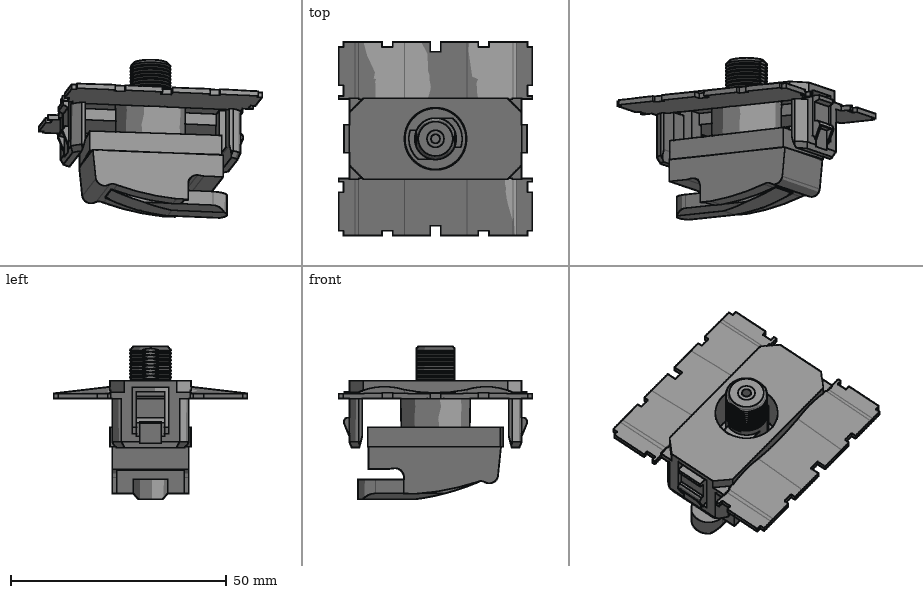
import cadquery as cq
import math


EXTRA = 1.0

connector_top = 12.15
block_top = 4.16
roof_bottom = 2.67
ledge_top = 1.5
plate_top = 1.15
lid_top = -6.6
lid_bottom = -11.2
leg_bottom = -11.4
step_bottom = -16.4
housing_bottom = -22.1
lever_top = -18.8
lever_bottom = -23.4

plate_half = 45.05 / 2
plate_inner_y = 9.2
corner_notch = 1.13
edge_notch_width = 2.43
edge_notch_x = 11.2
centre_notch_depth = 2.27
side_notch_y = 11.2
crease_outer_x = 18.83
crease_inner_x = 18.0
wave_seam_x = 7.3
hump_x = 11.8
crease_rise = 0.3
hump_rise = 1.65
seam_rise = 0.95
valley_rise = 0.2
outer_wave_fraction = 0.05

block_half_x = 20.05
block_half_y = 9.43
block_chamfer = 3.3
cavity_half_y = 7.9
leg_inner_x = 17.0
leg_half_y = 8.93
leg_corner_cut = 2.15
leg_corner_bulge = 0.2
leg_foot_z = -10.05
leg_foot_outer_x = 19.5
leg_foot_inner_x = 17.7
leg_taper_z = -8.7
leg_foot_half_y = 8.15
window_half_y = 4.24
window_bottom = -8.17
arm_half_y = 3.28
arm_thickness = 1.5
arm_top = 1.55
tab_outer_x = 21.2
tab_front_bottom = 0.6
latch_top = -4.44
latch_tip_x = 21.35
latch_tip_z = -5.62
latch_bottom = -8.75
latch_round_inset = 0.18
latch_round_drop = 0.45
pocket_half_y = 2.55
pocket_floor_x = 19.9
pocket_outer_top = -5.4
pocket_inner_top = -5.75
tube_radius = 8.2
tube_tip_radius = 8.0
tube_bore_radius = 7.25
tube_bore_tip_radius = 7.1

thread_radius = 4.83
thread_root_radius = 4.4
thread_pitch = 25.4 / 32
thread_count = 10
thread_bottom = 3.75
tip_radius = 4.0
thread_flat_x = 4.43
thread_flat_bottom = 3.1
lug_radius = 6.2
lug_half_y = 4.74
lug_end_y = 1.95
lug_top = 2.0
insulator_radius = 1.98
contact_hole_radius = 1.05
contact_hole_depth = 6.0

lid_half_x = 15.46
lid_half_y = 8.82
lid_turn = 2.27
housing_half_y = 8.95
housing_left_x = -15.58
housing_right_x = 15.25
cheek_x = -7.35
step_end = (-10.9, step_bottom)
arch_rise = (-10.2, -16.3)
arch_crown = (-9.4, -16.2)
arch_shoulder = (-7.95, -16.85)
arch_foot = (cheek_x, -18.3)
belly_mid = (2.6, -21.2)
belly_end = (9.6, -19.4)
belly_dip = (10.5, -19.2)
heel_start = (11.4, -19.4)
heel_mid = (13.6, -19.4)
heel_end = (14.55, -18.0)
cheek_inner_y = 7.9
recess_depth = 0.85
recess_top = -16.7
lever_tip_x = -18.05
lever_half_y = 4.05
lever_chamfer_height = 1.35
lever_chamfer_width = 1.25
lever_flat_end_x = -4.45
lever_curve_mid = (3.2, -21.8)
lever_rear_x = 10.0
lever_rear_bottom = -19.4


def box(x_range, y_range, z_range):
    """Box spanning the three given (low, high) ranges."""
    sizes = [high - low for low, high in (x_range, y_range, z_range)]
    corner = (x_range[0], y_range[0], z_range[0])
    return cq.Workplane("XY").box(*sizes, centered=False).translate(corner)


def cylinder(radius, bottom, top):
    return cq.Workplane("XY").workplane(offset=bottom).circle(radius).extrude(top - bottom)


def prism_along_y(points, half_width):
    """Polygon in the XZ plane, extruded to both sides of Y = 0."""
    return cq.Workplane("XZ").polyline(points).close().extrude(half_width, both=True)


def wave_section(y, fraction):
    """Closed XZ section of a flange plate's wavy top at the given Y."""
    def z(rise):
        return plate_top + rise * fraction

    return (
        cq.Workplane("XZ", origin=(0, y, 0))
        .moveTo(-crease_outer_x, 0)
        .lineTo(-crease_outer_x, plate_top)
        .lineTo(-crease_inner_x, z(crease_rise))
        .threePointArc((-hump_x, z(hump_rise)), (-wave_seam_x, z(seam_rise)))
        .threePointArc((0, z(valley_rise)), (wave_seam_x, z(seam_rise)))
        .threePointArc((hump_x, z(hump_rise)), (crease_inner_x, z(crease_rise)))
        .lineTo(crease_outer_x, plate_top)
        .lineTo(crease_outer_x, 0)
        .close()
        .val()
    )


def notch(x, y, width_x, width_y):
    """Vertical through cutter centred on (x, y)."""
    return (
        cq.Workplane("XY").workplane(offset=-EXTRA).center(x, y)
        .rect(width_x, width_y).extrude(block_top + EXTRA)
    )


def flange_plate():
    """Notched plate with a wavy top, on the +Y side of the block."""
    plate = box((-plate_half, plate_half), (plate_inner_y, plate_half), (0, plate_top))
    inner_section = wave_section(plate_inner_y, 1.0)
    outer_section = wave_section(plate_half, outer_wave_fraction)
    wave = cq.Solid.makeLoft([inner_section, outer_section], True)
    plate = plate.union(cq.Workplane(wave))
    depth = 2 * corner_notch
    plate = plate.cut(notch(0, plate_half, edge_notch_width, 2 * centre_notch_depth))
    for side in (-1, 1):
        plate = plate.cut(notch(side * plate_half, plate_half, depth, depth))
        plate = plate.cut(notch(side * edge_notch_x, plate_half, edge_notch_width, depth))
        plate = plate.cut(notch(side * plate_half, side_notch_y, depth, edge_notch_width))
    return plate


def block():
    """Long block with chamfered upper corners, hollow from below between the legs."""
    x_range = (-block_half_x, block_half_x)
    y_range = (-block_half_y, block_half_y)
    upper = box(x_range, y_range, (ledge_top, block_top)).edges("|Z").chamfer(block_chamfer)
    cavity = box((-leg_inner_x, leg_inner_x), (-cavity_half_y, cavity_half_y), (-EXTRA, roof_bottom))
    return box(x_range, y_range, (0, ledge_top)).union(upper).cut(cavity)


def leg_plan(outer_x, half_y, z):
    """Closed leg outline at height z, with a slightly bulged cut on each outer corner."""
    end_half_y = half_y - leg_corner_cut
    side_start_x = leg_corner_cut - outer_x
    bulge = leg_corner_bulge / math.sqrt(2)
    arc_mid_x = leg_corner_cut / 2 - outer_x - bulge
    arc_mid_y = half_y - leg_corner_cut / 2 + bulge
    return (
        cq.Workplane("XY", origin=(0, 0, z))
        .moveTo(-leg_inner_x, -half_y)
        .lineTo(side_start_x, -half_y)
        .threePointArc((arc_mid_x, -arc_mid_y), (-outer_x, -end_half_y))
        .lineTo(-outer_x, end_half_y)
        .threePointArc((arc_mid_x, arc_mid_y), (side_start_x, half_y))
        .lineTo(-leg_inner_x, half_y)
        .close()
        .val()
    )


def leg():
    """Leg on the -X side: straight shank, narrowed foot and a taper on the inner face."""
    top_plan = leg_plan(block_half_x, leg_half_y, 0)
    foot_plan = leg_plan(block_half_x, leg_half_y, leg_foot_z)
    bottom_plan = leg_plan(leg_foot_outer_x, leg_foot_half_y, leg_bottom)
    shank = cq.Workplane(cq.Solid.makeLoft([foot_plan, top_plan], True))
    foot = cq.Workplane(cq.Solid.makeLoft([bottom_plan, foot_plan], True))
    taper = prism_along_y(
        [
            (-leg_inner_x, leg_taper_z),
            (-leg_foot_inner_x, leg_bottom),
            (-leg_inner_x, leg_bottom),
        ],
        leg_half_y,
    )
    return shank.union(foot).cut(taper)


def spring_arm():
    """Arm rising inside the -X window, with a tab at its top and a latch lower down."""
    arm_inner_x = arm_thickness - block_half_x
    arm = box((-block_half_x, arm_inner_x), (-arm_half_y, arm_half_y), (window_bottom, arm_top))
    tab = prism_along_y(
        [
            (arm_inner_x, arm_top),
            (-tab_outer_x, arm_top),
            (-tab_outer_x, tab_front_bottom),
            (-block_half_x, 0),
            (arm_inner_x, 0),
        ],
        arm_half_y,
    )
    shoulder_x = -(block_half_x + latch_tip_x) / 2
    latch_nose_mid = (latch_round_inset - latch_tip_x, latch_top - latch_round_drop)
    latch = (
        cq.Workplane("XZ")
        .moveTo(arm_inner_x, latch_top)
        .lineTo(shoulder_x, latch_top)
        .threePointArc(latch_nose_mid, (-latch_tip_x, latch_tip_z))
        .lineTo(-block_half_x, latch_bottom)
        .lineTo(arm_inner_x, latch_bottom)
        .close()
        .extrude(arm_half_y, both=True)
    )
    return arm.union(tab).union(latch)


def tapered_round(bottom_radius, top_radius):
    """Slightly tapered round from the lid up to the top of the block."""
    return (
        cq.Workplane("XY").workplane(offset=lid_top).circle(bottom_radius)
        .workplane(offset=block_top - lid_top).circle(top_radius).loft(ruled=True)
    )


def make_frame():
    """Block, tube and two flange plates, with a windowed leg and spring arm at each end."""
    body = block()
    body = body.union(tapered_round(tube_tip_radius, tube_radius))
    plate = flange_plate()
    body = body.union(plate).union(plate.mirror("XZ"))

    window = box(
        (-block_half_x - EXTRA, -leg_inner_x),
        (-window_half_y, window_half_y),
        (window_bottom, roof_bottom),
    )
    pocket = prism_along_y(
        [
            (-latch_tip_x, pocket_outer_top),
            (-pocket_floor_x, pocket_inner_top),
            (-pocket_floor_x, leg_bottom),
            (-latch_tip_x, leg_bottom),
        ],
        pocket_half_y,
    )
    left_leg = leg()
    left_arm = spring_arm()
    body = body.union(left_leg).union(left_leg.mirror("YZ"))
    body = body.cut(window).cut(window.mirror("YZ"))
    body = body.union(left_arm).union(left_arm.mirror("YZ"))
    body = body.cut(pocket).cut(pocket.mirror("YZ"))
    return body.cut(tapered_round(tube_bore_tip_radius, tube_bore_radius))


def threaded_barrel():
    """Round barrel with ring-shaped threads above, a chamfered tip and a flat on each X side."""
    profile = (
        cq.Workplane("XZ")
        .moveTo(0, lid_top)
        .lineTo(thread_radius, lid_top)
        .lineTo(thread_radius, thread_bottom)
        .lineTo(thread_root_radius, thread_bottom)
    )
    for ring in range(thread_count):
        ring_bottom = thread_bottom + ring * thread_pitch
        profile = profile.lineTo(thread_radius, ring_bottom + thread_pitch / 2)
        profile = profile.lineTo(thread_root_radius, ring_bottom + thread_pitch)
    barrel = (
        profile
        .lineTo(tip_radius, connector_top)
        .lineTo(0, connector_top)
        .close()
        .revolve(360, (0, 0, 0), (0, 1, 0))
    )
    for side in (-1, 1):
        outer_x = side * (thread_radius + EXTRA)
        flat_range = sorted((side * thread_flat_x, outer_x))
        flat_cut = box(
            flat_range,
            (-thread_radius, thread_radius),
            (thread_flat_bottom, connector_top),
        )
        barrel = barrel.cut(flat_cut)
    return barrel


def make_connector():
    """Threaded barrel with two opposite lugs at its base and a bore for the insulator."""
    body = threaded_barrel()
    disc = cylinder(lug_radius, lid_top, lug_top)
    lug = disc.intersect(box((0, lug_radius), (-lug_end_y, lug_half_y), (lid_top, lug_top)))
    for angle in (0, 180):
        body = body.union(lug.rotate((0, 0, 0), (0, 0, 1), angle))
    return body.cut(cylinder(insulator_radius, lid_top, connector_top))


def make_insulator():
    """Rod filling the connector's bore, with a blind contact hole in its top."""
    rod = cylinder(insulator_radius, lid_top, connector_top)
    hole_bottom = connector_top - contact_hole_depth
    return rod.cut(cylinder(contact_hole_radius, hole_bottom, connector_top))


def make_lid():
    """Rectangular lid, turned slightly clockwise about the connector axis."""
    lid = box((-lid_half_x, lid_half_x), (-lid_half_y, lid_half_y), (lid_bottom, lid_top))
    return lid.rotate((0, 0, 0), (0, 0, 1), -lid_turn)


def housing_shell():
    """Stepped housing with a curved belly and a shallow recess between two cheeks."""
    shell = (
        cq.Workplane("XZ")
        .moveTo(housing_left_x, lid_bottom)
        .lineTo(housing_left_x, step_bottom)
        .lineTo(*step_end)
        .threePointArc(arch_rise, arch_crown)
        .threePointArc(arch_shoulder, arch_foot)
        .lineTo(cheek_x, housing_bottom)
        .lineTo(lever_flat_end_x, housing_bottom)
        .threePointArc(belly_mid, belly_end)
        .threePointArc(belly_dip, heel_start)
        .threePointArc(heel_mid, heel_end)
        .lineTo(housing_right_x, lid_bottom)
        .close()
        .extrude(housing_half_y, both=True)
    )
    recess = box(
        (housing_left_x, cheek_x + recess_depth),
        (-cheek_inner_y, cheek_inner_y),
        (housing_bottom - EXTRA, recess_top),
    )
    return shell.cut(recess)


def lever():
    """Lever with a round nose and chamfered lower sides, running out along the belly."""
    bar = (
        cq.Workplane("XZ")
        .moveTo(lever_tip_x, lever_top)
        .lineTo(lever_tip_x, lever_bottom)
        .lineTo(lever_flat_end_x, lever_bottom)
        .threePointArc(lever_curve_mid, (lever_rear_x, lever_rear_bottom))
        .lineTo(lever_rear_x, lever_top)
        .close()
        .extrude(lever_half_y, both=True)
    )
    nose_x = lever_tip_x + lever_half_y
    plan = (
        cq.Workplane("XY").workplane(offset=lever_bottom)
        .moveTo(lever_rear_x, -lever_half_y)
        .lineTo(nose_x, -lever_half_y)
        .threePointArc((lever_tip_x, 0), (nose_x, lever_half_y))
        .lineTo(lever_rear_x, lever_half_y)
        .close()
        .extrude(lever_top - lever_bottom)
    )
    narrow_half_y = lever_half_y - lever_chamfer_width
    section = (
        cq.Workplane("YZ", origin=(lever_tip_x, 0, 0))
        .polyline(
            [
                (-lever_half_y, lever_top),
                (-lever_half_y, lever_bottom + lever_chamfer_height),
                (-narrow_half_y, lever_bottom),
                (narrow_half_y, lever_bottom),
                (lever_half_y, lever_bottom + lever_chamfer_height),
                (lever_half_y, lever_top),
            ]
        )
        .close()
        .extrude(lever_rear_x - lever_tip_x)
    )
    return bar.intersect(plan).intersect(section)


def make_housing():
    return housing_shell().union(lever())


frame = make_frame()
connector = make_connector()
insulator = make_insulator()
lid = make_lid()
housing = make_housing()

result = cq.Compound.makeCompound(
    [body.solids().val() for body in (frame, connector, insulator, lid, housing)]
)